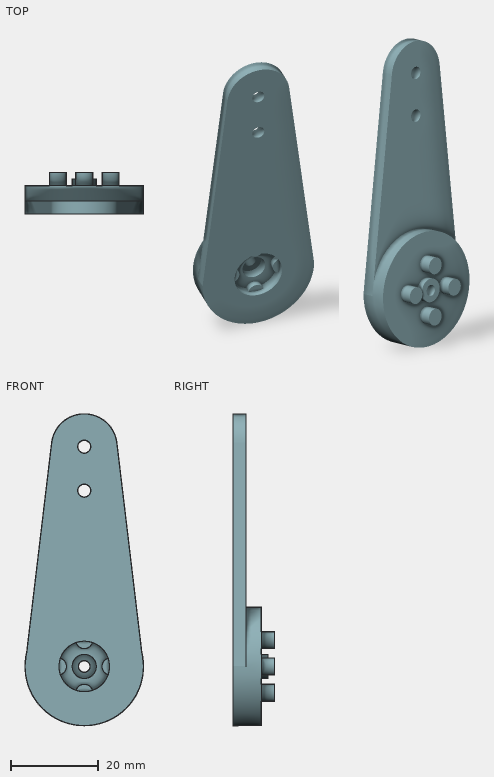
import cadquery as cq
import math

hub_diameter = 27.0
tip_radius = 7.5
tip_height = 50.0
plate_thickness = 3.0
tip_hole_diameter = 2.9
tip_hole_spacing = 10.0

hub_thickness = 6.5
boss_diameter = 5.5
boss_height = 1.5
pin_diameter = 3.9
pin_height = 3.0
pin_front_gap = 1.5
pin_count = 4
pin_circle_radius = 6.0

recess_diameter = 11.5
recess_depth = 3.0
counterbore_diameter = 5.5
counterbore_depth = 5.5
bore_diameter = 2.6

hub_radius = hub_diameter / 2


def cylinder(diameter, start_y, end_y, x=0.0, z=0.0):
    """Cylinder along +Y from start_y to end_y, centred on (x, z)."""
    return cq.Workplane(
        cq.Solid.makeCylinder(
            diameter / 2, end_y - start_y, cq.Vector(x, start_y, z), cq.Vector(0, 1, 0)
        )
    )


def make_arm():
    """Tapered plate above the hub axis, its straight sides running tangent into the round tip."""
    corner_to_tip = math.hypot(hub_radius, tip_height)
    tangent_angle = math.acos(tip_radius / corner_to_tip) - math.atan2(tip_height, hub_radius)
    tangent_x = tip_radius * math.cos(tangent_angle)
    tangent_z = tip_height + tip_radius * math.sin(tangent_angle)
    return (
        cq.Workplane("XZ")
        .moveTo(-hub_radius, 0)
        .lineTo(hub_radius, 0)
        .lineTo(tangent_x, tangent_z)
        .threePointArc((0, tip_height + tip_radius), (-tangent_x, tangent_z))
        .close()
        .extrude(-plate_thickness)
    )


def make_hub():
    """Disc with a centring boss, its front half cleared above the axis where the arm sits."""
    hub = cylinder(hub_diameter, 0, hub_thickness)
    arm_space = cq.Workplane("XY").box(
        hub_diameter, plate_thickness, hub_radius, centered=(True, False, False)
    )
    boss = cylinder(boss_diameter, hub_thickness, hub_thickness + boss_height)
    return hub.cut(arm_space).union(boss)


def cut_bore(body):
    """Recess, counterbore and through bore, each deeper and narrower."""
    body = body.cut(cylinder(recess_diameter, 0, recess_depth))
    body = body.cut(cylinder(counterbore_diameter, 0, counterbore_depth))
    return body.cut(cylinder(bore_diameter, 0, hub_thickness + boss_height))


def add_pins(body):
    """Ring of drive pins that stand out behind the hub and end short of the front face."""
    for index in range(pin_count):
        angle = index * 2 * math.pi / pin_count
        x = pin_circle_radius * math.cos(angle)
        z = pin_circle_radius * math.sin(angle)
        body = body.union(cylinder(pin_diameter, pin_front_gap, hub_thickness + pin_height, x, z))
    return body


def cut_tip_holes(body):
    """Two through holes in line with the arm, the outer one at the tip centre."""
    for z in (tip_height, tip_height - tip_hole_spacing):
        body = body.cut(cylinder(tip_hole_diameter, 0, plate_thickness, 0, z))
    return body


blank = make_arm().union(make_hub()).clean()
result = cut_tip_holes(add_pins(cut_bore(blank)))